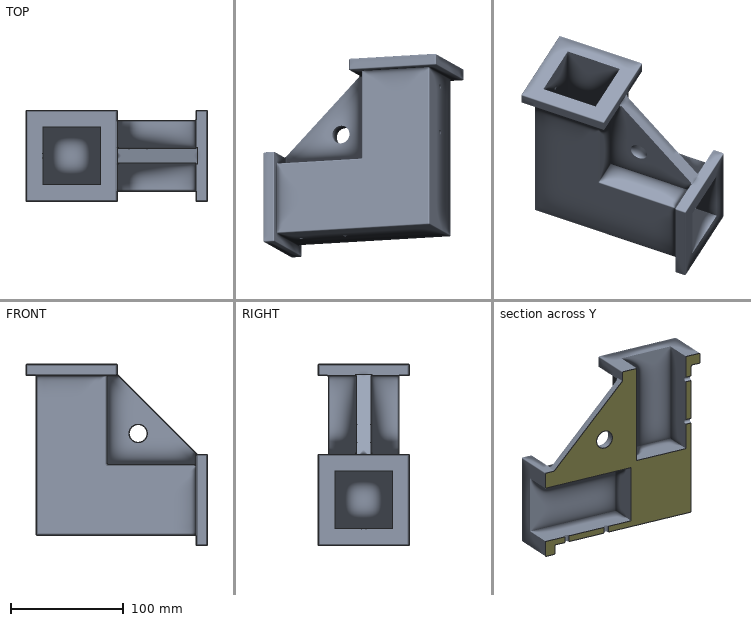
import cadquery as cq

bore_size = 51.05
wall = 6.0
flange_lip = 15.0
flange_thickness = 10.0
overall_length = 161.05
gusset_thickness = 12.7
gusset_hole_diameter = 15.88
gusset_hole_inset = 27.5
screw_hole_diameter = 4.0
screw_hole_depths = (22.4, 63.4)
edge_radius = 1.0

arm_size = bore_size + 2 * wall
flange_size = bore_size + 2 * flange_lip
flange_offset = (flange_size - arm_size) / 2
flange_edge = arm_size + flange_offset
arm_length = overall_length - flange_offset
flange_base = arm_length - flange_thickness
arm_center = arm_size / 2
socket_depth = arm_length - arm_size
gusset_hole_center = arm_size + gusset_hole_inset


def vertical_block(size, bottom, top):
    """Square block on the axis of the vertical arm."""
    base = cq.Workplane("XY", origin=(arm_center, 0, bottom))
    return base.rect(size, size).extrude(top - bottom)


def turn_to_horizontal(vertical_features):
    """Half turn about the X = Z diagonal, carrying the vertical arm onto the horizontal one."""
    return vertical_features.rotate((0, 0, 0), (1, 0, 1), 180)


def on_both_arms(vertical_features):
    return vertical_features.union(turn_to_horizontal(vertical_features))


def flange_edges_at_gusset(elbow):
    """The two flange edges that the gusset crosses."""
    reach = flange_size
    vertical = cq.selectors.BoxSelector(
        (flange_edge - edge_radius, -reach, flange_base - edge_radius),
        (flange_edge + edge_radius, reach, flange_base + edge_radius),
    )
    horizontal = cq.selectors.BoxSelector(
        (flange_base - edge_radius, -reach, flange_edge - edge_radius),
        (flange_base + edge_radius, reach, flange_edge + edge_radius),
    )
    return elbow.edges(vertical + horizontal)


def sharp_joint():
    """Fillet material to clear from the +Y side of the vertical arm, under its flange."""
    length = arm_size + 2 * edge_radius
    center = (arm_center, (arm_size + edge_radius) / 2, flange_base - edge_radius / 2)
    return cq.Workplane("XY", origin=center).box(length, edge_radius, edge_radius)


def rounded_elbow():
    """Solid arms with end flanges, rounded except at the edges the gusset crosses.

    One side joint under each flange stays sharp: +Y on the vertical arm, -Y on the horizontal.
    """
    arm = vertical_block(arm_size, 0, arm_length)
    flange = vertical_block(flange_size, flange_base, arm_length)
    elbow = on_both_arms(arm.union(flange)).clean()
    sharp_edges = flange_edges_at_gusset(elbow).vals()
    rounded_edges = [edge for edge in elbow.edges().vals() if edge not in sharp_edges]
    rounded = elbow.newObject(rounded_edges).fillet(edge_radius)
    return rounded.cut(sharp_joint()).cut(turn_to_horizontal(sharp_joint()))


def gusset_pocket(rounded_edges):
    """Space beside the +Y face of the gusset, with the selected edges rounded."""
    opening = flange_base - arm_size
    middle = (flange_base + arm_size) / 2
    depth = arm_size / 2
    block = cq.Workplane("XY").box(opening, depth, opening)
    rounded = block.edges(rounded_edges).fillet(edge_radius)
    return rounded.translate((middle, (gusset_thickness + depth) / 2, middle))


def gusset():
    """Triangular web in the inside corner, with filleted joints along its foot."""
    tip = flange_base + edge_radius
    outline = [
        (arm_center, arm_center),
        (arm_center, tip),
        (flange_edge, tip),
        (tip, flange_edge),
        (tip, arm_center),
    ]
    foot_thickness = gusset_thickness + 2 * edge_radius
    web = cq.Workplane("XZ").polyline(outline).close().extrude(foot_thickness / 2, both=True)

    back_pocket = gusset_pocket("|Y or <Y")
    front_pocket = gusset_pocket("<Y and (>X or >Z)").mirror("XZ")
    return web.cut(back_pocket).cut(front_pocket)


def gusset_hole():
    hole = cq.Workplane("XZ").center(gusset_hole_center, gusset_hole_center)
    return hole.circle(gusset_hole_diameter / 2).extrude(gusset_thickness, both=True)


def socket():
    """Blind post socket of the vertical arm."""
    return vertical_block(bore_size, arm_length - socket_depth, arm_length)


def screw_holes():
    """Screw holes through the outer wall into the vertical socket."""
    points = [(0, arm_length - depth) for depth in screw_hole_depths]
    holes = cq.Workplane("YZ").pushPoints(points).circle(screw_hole_diameter / 2)
    return holes.extrude(arm_center)


result = (
    rounded_elbow()
    .union(gusset())
    .cut(gusset_hole())
    .cut(on_both_arms(socket().union(screw_holes())))
)